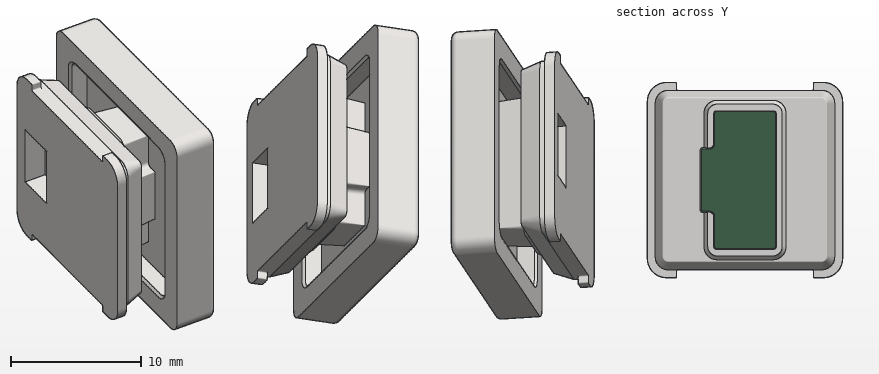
import cadquery as cq

case_side = 18.0
case_depth = 3.5
case_corner_radius = 1.0
case_back_fillet = 0.5
cavity_side = 14.0
cavity_depth = 1.55
cavity_corner_radius = 0.8
cavity_chamfer = 0.2

overall_depth = 7.9

slider_offset_x = -0.02
plate_side = 15.01
plate_thickness = 0.81
plate_corner_radius = 1.5
notch_length = 10.51
notch_fillet = 0.09
block_side = 13.79
block_corner_radius = 1.0
block_straight_depth = 0.49
block_taper_angle = 20.0
block_edge_fillet = 0.09
foot_gap = 1.0
foot_depth = 0.5
foot_taper_angle = 30.0
foot_width = 6.3
foot_height = 12.24
foot_corner_radius = 1.0
neck_width = 4.9
neck_height = 10.73
neck_corner_radius = 0.27
draft_angle = 5.0
rib_reach = 3.45
rib_height = 5.0
rib_corner_radius = 0.27
rib_fillet = 0.35
pocket_width = 3.17
pocket_height = 5.0
pocket_depth = 1.8
pocket_center_x = -4.7

cavity_floor_y = cavity_depth
block_top_y = -(foot_gap + foot_depth)
plate_front_y = case_depth - overall_depth
plate_back_y = plate_front_y + plate_thickness
block_depth = block_top_y - plate_back_y


def rounded_block(width, height, radius, start_y, depth, taper=0.0, center_x=0.0):
    """Rounded rectangle in XZ, extruded toward +Y from start_y and narrowing by the taper angle."""
    outline = cq.Sketch().rect(width, height).vertices().fillet(radius)
    plane = cq.Plane(origin=(center_x, start_y, 0), xDir=(-1, 0, 0), normal=(0, 1, 0))
    return cq.Workplane(plane).placeSketch(outline).extrude(depth, taper=taper)


def make_case():
    """Square shell with a chamfered cavity mouth."""
    shell = rounded_block(case_side, case_side, case_corner_radius, 0, case_depth)
    shell = shell.faces(">Y").edges().fillet(case_back_fillet)
    cavity = rounded_block(cavity_side, cavity_side, cavity_corner_radius, 0, cavity_depth)
    mouth = rounded_block(
        cavity_side + 2 * cavity_chamfer,
        cavity_side + 2 * cavity_chamfer,
        cavity_corner_radius + cavity_chamfer,
        0,
        cavity_chamfer,
        taper=45.0,
    )
    return shell.cut(cavity).cut(mouth)


def make_plate():
    """Base plate, notched at its top and bottom edges down to the width of the block."""
    plate = rounded_block(plate_side, plate_side, plate_corner_radius, plate_front_y, plate_thickness)
    notch_depth = (plate_side - block_side) / 2
    for side in (-1, 1):
        notch_center_z = side * (plate_side - notch_depth) / 2
        notch = cq.Workplane("XY").box(notch_length, plate_thickness, notch_depth)
        plate = plate.cut(notch.translate((0, plate_front_y + plate_thickness / 2, notch_center_z)))
    notch_ends = cq.selectors.BoxSelector(
        (-notch_length / 2 - notch_fillet, plate_front_y, -plate_side),
        (notch_length / 2 + notch_fillet, plate_back_y, plate_side),
    )
    return plate.edges("|Y").edges(notch_ends).fillet(notch_fillet)


def make_tapered_block():
    """Block on the plate: a straight band, then a taper with a rounded top edge."""
    straight = rounded_block(
        block_side, block_side, block_corner_radius, plate_back_y, block_straight_depth
    )
    tapered = rounded_block(
        block_side,
        block_side,
        block_corner_radius,
        plate_back_y + block_straight_depth,
        block_depth - block_straight_depth,
        taper=block_taper_angle,
    )
    tapered = tapered.faces(">Y").edges().fillet(block_edge_fillet)
    return straight.union(tapered)


def make_neck():
    """Drafted neck from the block to the cavity floor, with a foot and a rib on its +X side."""
    neck_depth = cavity_floor_y - block_top_y
    foot = rounded_block(
        foot_width, foot_height, foot_corner_radius, block_top_y, foot_depth, foot_taper_angle
    )
    neck = rounded_block(
        neck_width, neck_height, neck_corner_radius, block_top_y, neck_depth, draft_angle
    )
    rib = rounded_block(
        rib_reach, rib_height, rib_corner_radius, block_top_y, neck_depth, draft_angle, rib_reach / 2
    )
    neck = neck.union(rib)
    inner_corners = cq.selectors.BoxSelector(
        (neck_width / 2 - rib_fillet, block_top_y, -rib_height / 2 - rib_fillet),
        (neck_width / 2 + rib_fillet, cavity_floor_y, rib_height / 2 + rib_fillet),
    )
    neck = neck.edges(inner_corners).edges("not(#Y)").fillet(rib_fillet)
    return neck.union(foot)


def make_slider():
    """Plate, block and neck as one solid, with a pocket in the front face."""
    pocket = cq.Workplane("XY").box(pocket_width, pocket_depth, pocket_height)
    pocket = pocket.translate((pocket_center_x, plate_front_y + pocket_depth / 2, 0))
    body = make_plate().union(make_tapered_block()).union(make_neck())
    return body.cut(pocket).translate((slider_offset_x, 0, 0))


case = make_case()
slider = make_slider()
result = cq.Compound.makeCompound([case.val(), slider.val()])